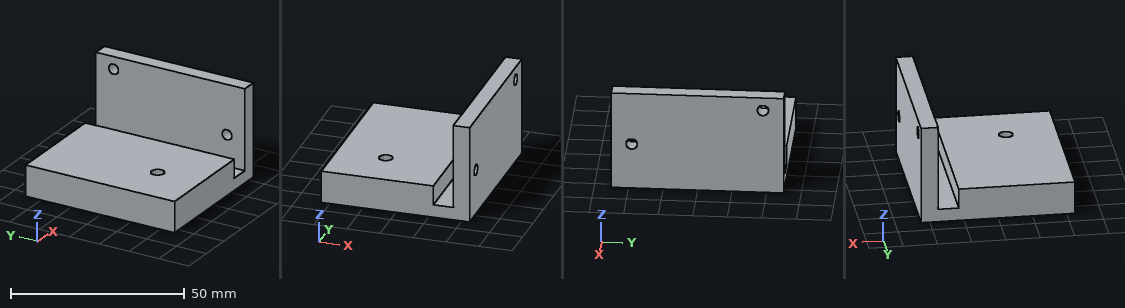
import cadquery as cq

length_x = 45
width_y = 50
height_z = 30

base_height = 10
wall_thickness = 5
slot_width = 6
slot_floor = 4

base_hole_diameter = 4
base_hole_x = 15
base_hole_y = 14.5

wall_hole_diameter = 3.2
wall_hole_end_margin = 6
wall_hole_edge_margin = 4
wall_hole_centers = [
    (wall_hole_end_margin, base_height + wall_hole_edge_margin),
    (width_y - wall_hole_end_margin, height_z - wall_hole_edge_margin),
]

wall_x = length_x - wall_thickness
slot_x = wall_x - slot_width


def make_body():
    """Extrude the bracket profile along Y, from Y = 0 to the full width."""
    profile = [
        (0, 0),
        (length_x, 0),
        (length_x, height_z),
        (wall_x, height_z),
        (wall_x, slot_floor),
        (slot_x, slot_floor),
        (slot_x, base_height),
        (0, base_height),
    ]
    return cq.Workplane("XZ").polyline(profile).close().extrude(-width_y)


def make_base_hole():
    """Vertical cutter through the base."""
    return (
        cq.Workplane("XY")
        .center(base_hole_x, base_hole_y)
        .circle(base_hole_diameter / 2)
        .extrude(base_height)
    )


def make_wall_holes():
    """Horizontal cutters through the wall."""
    return (
        cq.Workplane("YZ", origin=(wall_x, 0, 0))
        .pushPoints(wall_hole_centers)
        .circle(wall_hole_diameter / 2)
        .extrude(wall_thickness)
    )


result = make_body().cut(make_base_hole()).cut(make_wall_holes())